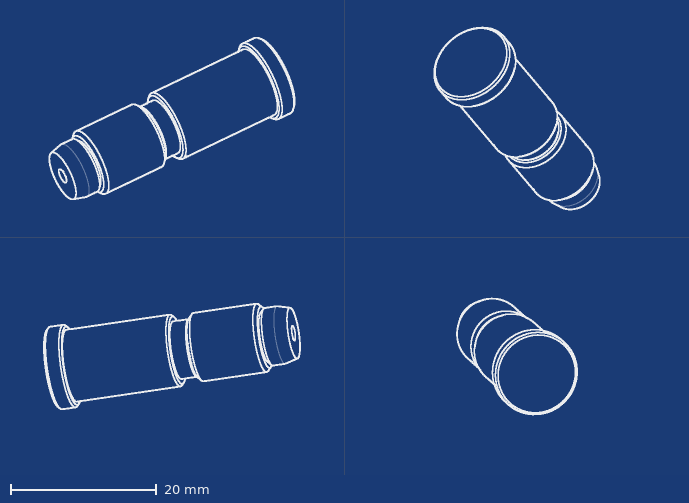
import cadquery as cq
import math

length = 34.0

head_diameter = 11.5
head_thickness = 2.5
shank_diameter = 10.0
shank_length = 15.0
shank_chamfer = 0.3
head_chamfer = 0.3

collar_diameter = 8.02
collar_length = 2.48
collar_chamfer = 0.25
tip_chamfer = 0.5
tip_length = 4.0
tip_taper_length = 1.77
tip_taper_angle = 15.0

centre_hole_diameter = 2.05
centre_hole_angle = 118.0

sleeve_diameter = 9.52
sleeve_chamfer = 0.5

head_start = length - head_thickness
shank_start = head_start - shank_length
collar_start = shank_start - collar_length
sleeve_start = tip_length
sleeve_length = collar_start - sleeve_start

groove_diameter = collar_diameter - 2 * tip_chamfer


def cylinder(diameter, start, height):
    """Solid cylinder about the Y axis, from start towards +Y."""
    return cq.Workplane("XZ", origin=(0, start, 0)).circle(diameter / 2).extrude(-height)


def make_pin():
    head = cylinder(head_diameter, head_start, head_thickness).edges().chamfer(head_chamfer)
    shank = cylinder(shank_diameter, shank_start, shank_length).edges("<Y").chamfer(shank_chamfer)
    collar = cylinder(collar_diameter, collar_start, collar_length).edges("<Y").chamfer(collar_chamfer)
    groove_core = cylinder(groove_diameter, sleeve_start, sleeve_length)
    return head.union(shank).union(collar).union(groove_core).union(make_tip()).cut(make_centre_hole())


def make_tip():
    """Tapered nose, short cylinder and chamfer down to the groove."""
    radius = collar_diameter / 2
    nose_radius = radius - tip_taper_length * math.tan(math.radians(tip_taper_angle))
    return (
        cq.Workplane("XY")
        .moveTo(0, 0)
        .lineTo(nose_radius, 0)
        .lineTo(radius, tip_taper_length)
        .lineTo(radius, tip_length - tip_chamfer)
        .lineTo(groove_diameter / 2, tip_length)
        .lineTo(0, tip_length)
        .close()
        .revolve(360, (0, 0, 0), (0, 1, 0))
    )


def make_centre_hole():
    radius = centre_hole_diameter / 2
    depth = radius / math.tan(math.radians(centre_hole_angle / 2))
    return (
        cq.Workplane("XY")
        .polyline([(0, 0), (radius, 0), (0, depth)])
        .close()
        .revolve(360, (0, 0, 0), (0, 1, 0))
    )


def make_sleeve():
    """Sleeve chamfered at both ends, with a plain bore."""
    outside = cylinder(sleeve_diameter, sleeve_start, sleeve_length).edges().chamfer(sleeve_chamfer)
    return outside.cut(cylinder(groove_diameter, sleeve_start, sleeve_length))


pin = make_pin()
sleeve = make_sleeve()

result = cq.Compound.makeCompound([pin.val(), sleeve.val()])